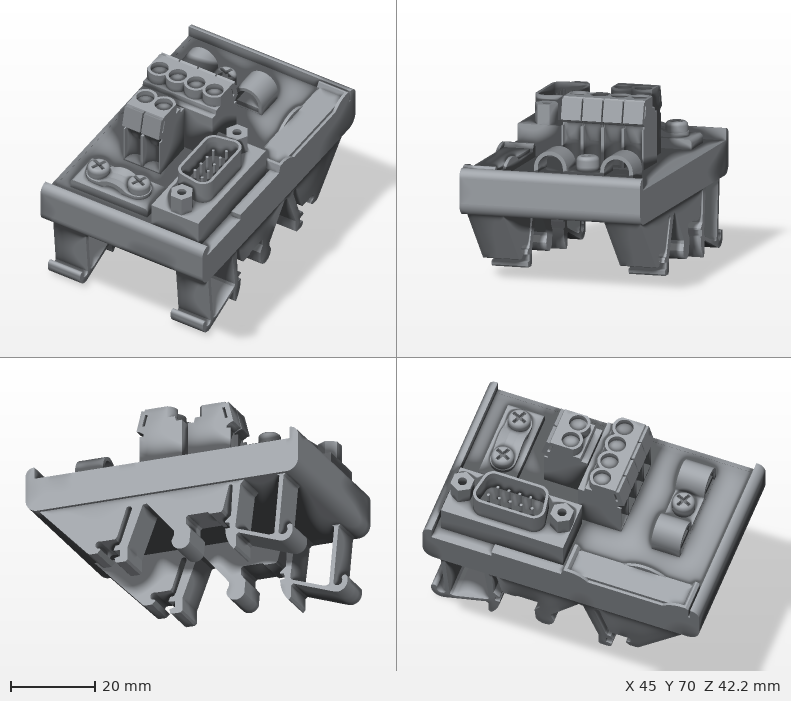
import cadquery as cq
import math

WIDTH = 45.0
LENGTH = 70.0
TRAY_TOP = 8.35
LIP_TOP = 11.25
LIP_THICKNESS = 2.25
LIP_RADIUS = 2.1
TRAY_RADIUS = 3.0
BOARD_MARGIN = 1.05
BOARD_RECESS = 0.05
SINK = 0.3

FOOT_WIDTH = 9.0
FOOT_CENTER_X = 17.05

TERMINAL_TOP = 24.91
POLE_PITCH = 5.08
TERMINAL_MATING_Y = -2.32
FOUR_POLE_X = -4.9
TWO_POLE_X = -7.38

SCREW_HEAD_DIAMETER = 5.4
SCREW_HEAD_HEIGHT = 3.4
SCREW_HEAD_ROUNDING = 1.0
SCREW_RECESS_LENGTH = 4.0
SCREW_RECESS_WIDTH = 0.9
SCREW_RECESS_DEPTH = 1.2
SCREW_RECESS_ANGLE = -25.0


def block(x_min, x_max, y_min, y_max, z_min, z_max):
    size = (x_max - x_min, y_max - y_min, z_max - z_min)
    return cq.Workplane("XY").box(*size, centered=False).translate((x_min, y_min, z_min))


def cylinder(x, y, z_min, z_max, diameter):
    disc = cq.Workplane("XY", origin=(x, y, z_min)).circle(diameter / 2)
    return disc.extrude(z_max - z_min)


def closed_path(plane, start, steps):
    """A step is an end point, or a (middle, end) pair of points for an arc."""
    path = plane.moveTo(*start)
    for step in steps:
        if isinstance(step[0], tuple):
            path = path.threePointArc(*step)
        else:
            path = path.lineTo(*step)
    return path.close()


def along_x(start, steps, x_min, x_max):
    """Extrude an outline of (y, z) points along X."""
    plane = cq.Workplane("YZ", origin=(x_min, 0, 0))
    return closed_path(plane, start, steps).extrude(x_max - x_min)


def along_y(start, steps, y_min, y_max):
    """Extrude an outline of (x, z) points along Y."""
    plane = cq.Workplane("XZ", origin=(0, y_max, 0))
    return closed_path(plane, start, steps).extrude(y_max - y_min)


def make_tray():
    half_width = WIDTH / 2
    half_length = LENGTH / 2
    inner_y = half_length - LIP_THICKNESS
    tray = block(-half_width, half_width, -half_length, half_length, 0, LIP_TOP)
    tray = tray.edges("|X and <Z").fillet(TRAY_RADIUS)
    tray = tray.edges("|X and >Z").fillet(LIP_RADIUS)
    tray = tray.cut(block(-half_width, half_width, -inner_y, inner_y, TRAY_TOP, LIP_TOP))
    board_x = half_width - BOARD_MARGIN
    board_z = TRAY_TOP - BOARD_RECESS
    return tray.cut(block(-board_x, board_x, -inner_y, inner_y, board_z, LIP_TOP))


def make_foot(center_x):
    x_min = center_x - FOOT_WIDTH / 2
    x_max = center_x + FOOT_WIDTH / 2
    outline = [
        (31.8, 0), (19.3, -12.8), (18.8, -13.0), (17.0, -13.0), (16.1, -12.2), (16.4, -11.8),
        ((17.4, -11.2), (16.2, -10.1)), (12.3, -10.1), (11.8, -9.4),
        (9.6, -2.9), ((8.9, -2.2), (8.1, -3.1)), (10.9, -11.0), (11.4, -11.7), (12.3, -11.8),
        (12.8, -12.9), (11.1, -13.1), (11.1, -14.6), (12.5, -14.9), (12.4, -15.8), (12.0, -16.2),
        (9.7, -16.2), (9.2, -15.7), (9.2, -12.6), (5.3, -2.4), (4.2, -2.2),
        (-2.8, -10.4), (-2.8, -11.2), (-2.1, -12.8), ((-3.9, -15.1), (-6.7, -13.8)),
        (-7.0, -10.5), (-5.8, -8.9), (-5.8, -7.4), (-6.3, -6.9), (-11.4, -6.9), (-11.9, -7.4),
        (-14.8, -7.4), (-15.3, -6.8),
        (-16.8, -1.1), ((-17.3, -0.7), (-17.8, -1.1)), (-17.4, -8.7), (-15.9, -9.9),
        (-15.9, -10.3), (-16.9, -10.4), (-17.1, -11.8), (-15.9, -11.9),
        ((-16.3, -14.4), (-18.0, -17.3)), (-18.3, -17.2), (-18.7, -16.6), (-18.7, -13.8),
        (-19.3, -13.4),
        (-29.6, -17.05), ((-32.6, -16.36), (-33.2, -14.7)), (-33.2, -14.0),
        ((-32.5, -13.2), (-31.7, -13.8)), ((-30.6, -15.6), (-29.6, -14.9)),
        (-30.9, -0.5), (-31.4, 0), (-31.4, SINK), (31.8, SINK),
    ]
    cavity = [
        (-18.5, -11.7), (-19.8, -1.0), (-20.8, 0), (-29.2, 0), (-29.8, -0.4), (-28.5, -14.9),
        (-27.9, -15.2), (-26.9, -15.1), (-18.9, -12.3),
    ]
    foot = along_x(outline[0], outline[1:], x_min, x_max)
    return foot.cut(along_x(cavity[0], cavity[1:], x_min, x_max))


def make_screw(x, y, z):
    head = cylinder(x, y, z - SINK, z + SCREW_HEAD_HEIGHT, SCREW_HEAD_DIAMETER)
    head = head.faces(">Z").edges().fillet(SCREW_HEAD_ROUNDING)
    top = cq.Workplane("XY", origin=(x, y, z + SCREW_HEAD_HEIGHT - SCREW_RECESS_DEPTH))
    for angle in (SCREW_RECESS_ANGLE, SCREW_RECESS_ANGLE + 90):
        arm = top.transformed(rotate=(0, 0, angle)).rect(SCREW_RECESS_LENGTH, SCREW_RECESS_WIDTH)
        head = head.cut(arm.extrude(SCREW_HEAD_HEIGHT))
    return head


def make_double_clamp():
    center_x = -5.06
    center_y = 20.82
    depth = 7.2
    arch_offset = 8.24
    arch_z = 10.72
    arch_radius = 4.06
    wall = 0.95
    blend = 0.5
    base_top = 9.6
    base_setback = 0.5
    bottom = TRAY_TOP - SINK

    y_min = center_y - depth / 2
    y_max = center_y + depth / 2
    outer = arch_offset + arch_radius
    inner = arch_offset - arch_radius
    flat = inner - blend
    strap_top = arch_z - blend
    blend_shift = blend * (1 - math.sqrt(0.5))

    def across(x):
        return center_x + x

    steps = [
        (across(-outer), arch_z),
        ((across(-arch_offset), arch_z + arch_radius), (across(-inner), arch_z)),
        ((across(-inner + blend_shift), strap_top + blend_shift), (across(-flat), strap_top)),
        (across(flat), strap_top),
        ((across(inner - blend_shift), strap_top + blend_shift), (across(inner), arch_z)),
        ((across(arch_offset), arch_z + arch_radius), (across(outer), arch_z)),
        (across(outer), bottom),
    ]
    clamp = along_y((across(-outer), bottom), steps, y_min, y_max)

    bore = arch_radius - wall
    for side in (-1, 1):
        x = across(side * arch_offset)
        opening = [(x - bore, arch_z), ((x, arch_z + bore), (x + bore, arch_z)), (x + bore, base_top)]
        clamp = clamp.cut(along_y((x - bore, base_top), opening, y_min, y_max))
    leg = outer - wall
    for front_y in (y_min, y_max - base_setback):
        clamp = clamp.cut(
            block(across(-leg), across(leg), front_y, front_y + base_setback, TRAY_TOP, base_top)
        )
    return clamp.union(make_screw(center_x, center_y, strap_top))


def make_strap_clamp():
    center_x = -7.5
    center_y = -23.82
    base_top = 10.75
    base_half_width = 10.7
    base_half_depth = 4.57
    base_rounding = 1.05
    strap_top = 11.75
    strap_length = 17.1
    strap_depth = 6.2
    arch_flank_x = 3.2
    arch_foot_x = 4.4
    waist_rise = 1.0
    mouth_rise = 1.45
    flank_share = 0.3
    flank_sag_share = 0.35
    waist_depth = 2.0
    opening_half_width = 2.6
    opening_top = 12.1
    screw_offset = 5.6
    screw_seat = 10.85

    y_min = center_y - strap_depth / 2
    y_max = center_y + strap_depth / 2
    base = block(
        center_x - base_half_width, center_x + base_half_width,
        center_y - base_half_depth, center_y + base_half_depth,
        TRAY_TOP - SINK, base_top,
    ).edges("|Y and >Z").fillet(base_rounding)

    strap = cq.Workplane("XY", origin=(center_x, center_y, base_top))
    strap = strap.slot2D(strap_length, strap_depth).extrude(strap_top - base_top)

    def arch_wire(y, rise):
        """Bell-shaped section: concave flanks leading up to a convex crown."""
        flank_rise = flank_share * rise
        flank_z = strap_top + flank_rise
        middle_x = (arch_flank_x + arch_foot_x) / 2
        middle_z = strap_top + flank_sag_share * flank_rise
        plane = cq.Workplane("XZ", origin=(center_x, y, 0))
        return closed_path(plane, (-arch_foot_x, base_top), [
            (-arch_foot_x, strap_top),
            ((-middle_x, middle_z), (-arch_flank_x, flank_z)),
            ((0, strap_top + rise), (arch_flank_x, flank_z)),
            ((middle_x, middle_z), (arch_foot_x, strap_top)),
            (arch_foot_x, base_top),
        ]).wires().val()

    sections = [
        arch_wire(y_min, mouth_rise),
        arch_wire(center_y - waist_depth / 2, waist_rise),
        arch_wire(center_y + waist_depth / 2, waist_rise),
        arch_wire(y_max, mouth_rise),
    ]
    for near, far in zip(sections, sections[1:]):
        strap = strap.union(cq.Workplane(cq.Solid.makeLoft([near, far], True)))
    opening = [((center_x, opening_top), (center_x + opening_half_width, base_top))]
    strap = strap.cut(along_y((center_x - opening_half_width, base_top), opening, y_min, y_max))

    clamp = base.union(strap)
    for side in (-1, 1):
        clamp = clamp.union(make_screw(center_x + side * screw_offset, center_y, screw_seat))
    return clamp


def make_terminal(poles):
    """Terminal block centred on X = 0, its back near Y = 0 and its wire entries facing -Y."""
    back = -0.2
    front = -11.18
    rim_y = -3.9
    screw_y = -5.37
    collar_radius = 2.9
    screw_hole_diameter = 4.35
    screw_hole_depth = 1.6
    collar_foot = 22.05
    flap_gap = 0.4
    flap_root_y = -9.7
    flap_tip_y = -12.0
    entry_top = 18.1
    shield_top = 18.7
    body_half = poles * POLE_PITCH / 2
    bottom = TRAY_TOP - SINK

    profile = [
        (back, bottom), (back, 20.85), (-1.75, 20.85), (-2.05, collar_foot), (rim_y, collar_foot),
        (rim_y, TERMINAL_TOP), (-9.67, TERMINAL_TOP), (-9.9, 24.45), (-10.6, 24.75),
        (-11.9, 19.6), (-11.2, 19.4), (-10.15, shield_top), (-10.15, entry_top), (front, entry_top),
        (front, bottom),
    ]
    window = [(-9.0, 23.5), (-9.7, 23.5), (-10.45, 20.7), (-9.75, 20.7)]
    body = along_x(profile[0], profile[1:], -body_half, body_half)
    body = body.cut(along_x(window[0], window[1:], -body_half, body_half))

    pole_xs = [(i - (poles - 1) / 2) * POLE_PITCH for i in range(poles)]
    body_limits = block(-body_half, body_half, front, back, 0, TERMINAL_TOP)
    for x in pole_xs:
        collar = cylinder(x, screw_y, collar_foot - SINK, TERMINAL_TOP, 2 * collar_radius)
        body = body.union(collar.intersect(body_limits))
    for x in pole_xs:
        body = body.cut(
            cylinder(x, screw_y, TERMINAL_TOP - screw_hole_depth, TERMINAL_TOP, screw_hole_diameter)
        )
        body = body.cut(make_wire_entry(x, front, shield_top))
    for left_x in pole_xs[:-1]:
        gap_x = left_x + POLE_PITCH / 2
        body = body.cut(
            block(
                gap_x - flap_gap / 2, gap_x + flap_gap / 2,
                flap_tip_y, flap_root_y, entry_top, TERMINAL_TOP,
            )
        )
    return body


def make_wire_entry(x, front, top):
    """Round-backed pocket, open at the front, with a sloping shield over its upper part."""
    radius = 2.2
    sill = 0.3
    floor = TRAY_TOP + sill
    shield_bottom = 14.3
    shield_bottom_depth = 2.6
    shield_top_depth = 1.2
    round_start = 1.0
    reach = round_start + radius

    round_y = front + round_start
    pocket = cylinder(x, round_y, floor, top, 2 * radius)
    pocket = pocket.union(block(x - radius, x + radius, front - reach, round_y, floor, top))
    limits = [
        (front - SINK, top), (front + shield_top_depth, top),
        (front + shield_bottom_depth, shield_bottom), (front + reach, shield_bottom),
        (front + reach, floor),
    ]
    return pocket.intersect(along_x((front - SINK, floor), limits, x - radius, x + radius))


def make_d_connector():
    base_min_x = 6.2
    base_max_x = 19.25
    center_y = -16.12
    base_half_length = 15.45
    base_top = 15.95

    shell_left = 7.95
    shell_right = 17.55
    shell_center_y = -15.93
    shell_left_half = 7.85
    shell_right_half = 9.55
    shell_radius = 2.8
    shell_wall = 0.7
    shell_top = 21.85

    standoff_x = 12.83
    standoff_spacing = 25.25
    standoff_across_corners = 5.75
    standoff_top = 20.85
    standoff_hole = 2.2

    short_row_x = 11.39
    long_row_x = 14.2
    pin_pitch = 2.77
    pin_diameter = 0.7
    pin_top = 20.8

    connector = block(
        base_min_x, base_max_x, center_y - base_half_length, center_y + base_half_length,
        TRAY_TOP - SINK, base_top,
    )
    shell = cq.Workplane("XY", origin=(0, shell_center_y, base_top)).polyline([
        (shell_left, -shell_left_half), (shell_right, -shell_right_half),
        (shell_right, shell_right_half), (shell_left, shell_left_half),
    ]).close().extrude(shell_top - base_top).edges("|Z").fillet(shell_radius)
    shell = shell.faces("+Z or -Z").shell(-shell_wall)
    connector = connector.union(shell)

    for x, count in ((short_row_x, 4), (long_row_x, 5)):
        for i in range(count):
            y = shell_center_y + (i - (count - 1) / 2) * pin_pitch
            connector = connector.union(cylinder(x, y, base_top - SINK, pin_top, pin_diameter))

    for side in (-1, 1):
        y = shell_center_y + side * standoff_spacing / 2
        standoff = cq.Workplane("XY", origin=(standoff_x, y, base_top - SINK))
        standoff = standoff.polygon(6, standoff_across_corners).circle(standoff_hole / 2)
        connector = connector.union(standoff.extrude(standoff_top - base_top + SINK))
    return connector


def make_label_holder():
    x_min = 14.5
    x_max = WIDTH / 2
    wall = 0.75
    wall_top = 9.8
    label_top = 10.6
    end_top = 11.7
    bottom = TRAY_TOP - SINK
    rear_end = 32.25
    front_end = 0.0
    slope = 0.65
    end_flat = 0.75
    front_edge = front_end + slope + end_flat
    rear_edge = 31.2
    label_front = front_edge + slope
    label_rear = rear_edge - slope
    ear_middle_y = 18.33
    ear_half_length = 5.4
    ear_bend = 0.4
    ear_drop = 0.2
    extension_x_min = 19.98
    extension_y_min = -17.6

    holder = block(x_min, x_max, front_end, rear_end, bottom, wall_top)
    holder = holder.union(block(x_min + wall, x_max - wall, label_front, label_rear, bottom, label_top))

    front_wall = [
        (front_end, bottom), (front_end, wall_top), (slope, end_top), (front_edge, end_top),
        (label_front, label_top), (label_front, bottom),
    ]
    rear_wall = [
        (rear_end, bottom), (rear_end, LIP_TOP), (rear_end - slope, end_top),
        (rear_edge, end_top), (label_rear, label_top), (label_rear, bottom),
    ]
    for outline in (front_wall, rear_wall):
        holder = holder.union(along_x(outline[0], outline[1:], x_min, x_max))

    middle_arc = ((ear_middle_y, end_top), (ear_middle_y - ear_half_length, wall_top))
    middle_start = (ear_middle_y + ear_half_length, wall_top)
    holder = holder.union(along_x(middle_start, [middle_arc], x_min, x_min + wall))
    for edge, inward in ((front_edge, 1), (rear_edge, -1)):
        ear_arc = (
            (edge + inward * ear_bend * ear_half_length, end_top - ear_drop),
            (edge + inward * ear_half_length, wall_top),
        )
        holder = holder.union(along_x((edge, end_top), [ear_arc, (edge, wall_top)], x_max - wall, x_max))

    extension = block(extension_x_min, x_max, extension_y_min, front_end, bottom, wall_top)
    return holder.union(extension)


result = make_tray()
for foot_x in (-FOOT_CENTER_X, FOOT_CENTER_X):
    result = result.union(make_foot(foot_x))
result = result.union(make_double_clamp())
result = result.union(make_strap_clamp())
result = result.union(make_terminal(2).translate((TWO_POLE_X, TERMINAL_MATING_Y, 0)))
four_pole = make_terminal(4).rotate((0, 0, 0), (0, 0, 1), 180)
result = result.union(four_pole.translate((FOUR_POLE_X, TERMINAL_MATING_Y, 0)))
result = result.union(make_d_connector())
result = result.union(make_label_holder())